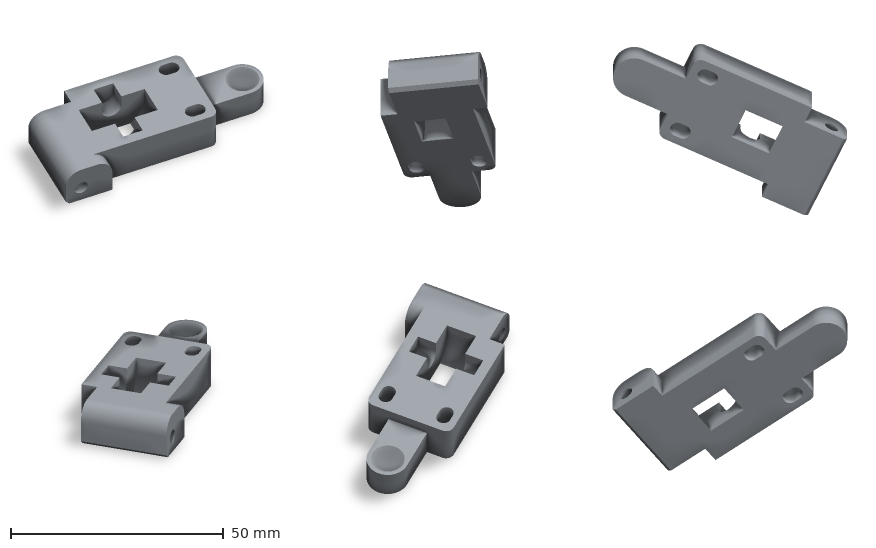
import cadquery as cq

total_width = 25.5
total_length = 57.0
height = 10.0

body_width = 22.0
body_front = 11.0
body_back = 41.0
body_corner_radius = 2.0

ear_width = 10.0
ear_height = 7.0
dish_diameter = 8.0
dish_depth = 2.0

hinge_left_inset = 4.0
hinge_back = 11.95
hinge_round_radius = 4.0
hinge_chamfer = 0.9
pin_diameter = 3.4
pin_y = 4.0
pin_z = 4.0

slot_width = 3.4
slot_length = 5.0
slot_edge_distance = 3.5
slot_y = 36.5

axle_y = 20.0
axle_z = 7.0
wheel_diameter = 17.0
wheel_width = 7.6
axle_diameter = 5.0
axle_length = 17.0

body_left = -body_width / 2
hinge_left = body_left + hinge_left_inset
hinge_right = body_left + total_width
hinge_width = hinge_right - hinge_left


def make_body():
    """Rectangular block with rounded rear vertical corners."""
    return (
        cq.Workplane("XY")
        .center(0, (body_front + body_back) / 2)
        .rect(body_width, body_back - body_front)
        .extrude(height)
        .edges("|Z and >Y")
        .fillet(body_corner_radius)
    )


def make_ear():
    """Tongue behind the body with a round end and a dished top."""
    end_radius = ear_width / 2
    end_y = total_length - end_radius
    tongue = (
        cq.Workplane("XY")
        .moveTo(-end_radius, body_back - body_corner_radius)
        .lineTo(-end_radius, end_y)
        .threePointArc((0, total_length), (end_radius, end_y))
        .lineTo(end_radius, body_back - body_corner_radius)
        .close()
        .extrude(ear_height)
    )
    rim_radius = dish_diameter / 2
    sphere_radius = (rim_radius**2 + dish_depth**2) / (2 * dish_depth)
    sphere_z = ear_height - dish_depth + sphere_radius
    dish = cq.Workplane("XY").sphere(sphere_radius).translate((0, end_y, sphere_z))
    return tongue.cut(dish)


def make_hinge():
    """Bar along X with rounded top edges and a chamfered lower front edge."""
    bar = (
        cq.Workplane("YZ", origin=(hinge_left, 0, 0))
        .rect(hinge_back, height, centered=False)
        .extrude(hinge_width)
    )
    bar = bar.edges("|X and <Y and <Z").chamfer(hinge_chamfer)
    return bar.edges("|X and >Z").fillet(hinge_round_radius)


def make_hinge_bridge():
    """Block that fills the rounded back of the hinge where it meets the body."""
    bridge_front = hinge_round_radius
    return cq.Workplane("XY").box(
        body_width - hinge_left_inset, hinge_back - bridge_front, height, centered=False
    ).translate((hinge_left, bridge_front, 0))


def make_pin_hole():
    """Hinge pin hole through the full hinge width."""
    return (
        cq.Workplane("YZ", origin=(hinge_left, 0, 0))
        .center(pin_y, pin_z)
        .circle(pin_diameter / 2)
        .extrude(hinge_width)
    )


def make_screw_slots():
    """Pair of through slots, long in Y."""
    slot_x = body_width / 2 - slot_edge_distance
    return (
        cq.Workplane("XY")
        .pushPoints([(-slot_x, slot_y), (slot_x, slot_y)])
        .slot2D(slot_length, slot_width, 90)
        .extrude(height)
    )


def make_drop_in_pocket(diameter, length):
    """Round-bottomed pocket along X at the axle axis, with straight walls open to the top."""
    radius = diameter / 2
    return (
        cq.Workplane("YZ", origin=(-length / 2, axle_y, axle_z))
        .moveTo(-radius, height - axle_z)
        .lineTo(-radius, 0)
        .threePointArc((0, -radius), (radius, 0))
        .lineTo(radius, height - axle_z)
        .close()
        .extrude(length)
    )


result = (
    make_body()
    .union(make_ear())
    .union(make_hinge())
    .union(make_hinge_bridge())
    .cut(make_pin_hole())
    .cut(make_screw_slots())
    .cut(make_drop_in_pocket(wheel_diameter, wheel_width))
    .cut(make_drop_in_pocket(axle_diameter, axle_length))
)